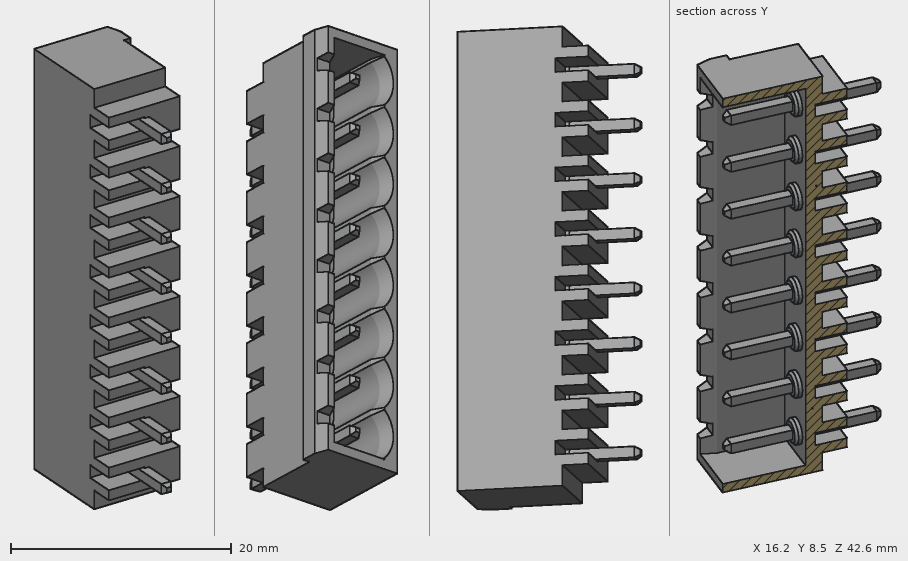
import cadquery as cq


PIN_COUNT = 8
HEIGHT = 42.65
PITCH = 5.07
PIN_Y = 3.9
PIN_HEIGHTS = [(i - (PIN_COUNT - 1) / 2) * PITCH for i in range(PIN_COUNT)]

BODY_LENGTH = 9.8
BODY_WIDTH = 7.75
RIDGE_WIDTH = 8.5
RIDGE_END = 3.05
RIDGE_RAMP = 1.4
MOUTH_WIDTH = 8.0

END_WALL = 1.0
CAVITY_HEIGHT = HEIGHT - 2 * END_WALL
CAVITY_DEPTH = 8.1
CAVITY_RIDGE_EDGE = 6.85
CAVITY_CUSP_EDGE = 1.9
SCALLOP_RADIUS = 3.0
LEAD_IN_DEPTH = 1.45
LEAD_IN_WIDTH = 0.43

NOTCH_DEPTH = 1.1
NOTCH_MOUTH_HEIGHT = 1.8
NOTCH_FLOOR_HEIGHT = 1.25

FOOT_END = 12.2
FOOT_HEIGHT = 3.33
SLOT_START = 9.12
SLOT_HEIGHT = 1.3

PIN_SIZE = 1.02
PIN_FRONT = 0.9
PIN_REAR = 16.2
PIN_TIP_LENGTH = 0.5
PIN_FRONT_TIP_SIZE = 0.43
PIN_REAR_TIP_SIZE = 0.5
TAIL_START = 9.65

COLLAR_RADIUS = 1.3
COLLAR_LENGTH = 0.65
COLLAR_CHAMFER = 0.25


def box(x_range, y_range, z_center, z_size):
    """Box between two X and two Y limits, centred on a height."""
    length = x_range[1] - x_range[0]
    width = y_range[1] - y_range[0]
    corner = (x_range[0], y_range[0], z_center - z_size / 2)
    return cq.Workplane("XY").box(length, width, z_size, centered=False).translate(corner)


def across(x, y, z):
    """Workplane facing +X, whose local axes are Y and Z."""
    return cq.Workplane("YZ", origin=(x, y, z))


def make_housing():
    """Solid block with the ramped latching ridge along its +Y edge."""
    outline = [
        (0, 0),
        (BODY_LENGTH, 0),
        (BODY_LENGTH, BODY_WIDTH),
        (RIDGE_END, BODY_WIDTH),
        (RIDGE_END, RIDGE_WIDTH),
        (RIDGE_RAMP, RIDGE_WIDTH),
        (0, MOUTH_WIDTH),
    ]
    return cq.Workplane("XY").polyline(outline).close().extrude(HEIGHT / 2, both=True)


def make_scallops():
    """One round bay per pin, widened by a conical lead-in at the mouth."""
    bays = cq.Workplane("XY")
    for z in PIN_HEIGHTS:
        straight = across(0, PIN_Y, z).circle(SCALLOP_RADIUS).extrude(CAVITY_DEPTH)
        cone = (
            across(0, PIN_Y, z)
            .circle(SCALLOP_RADIUS + LEAD_IN_WIDTH)
            .workplane(offset=LEAD_IN_DEPTH)
            .circle(SCALLOP_RADIUS)
            .loft()
        )
        bays = bays.add(straight.union(cone))
    return bays.combine()


def make_cavity():
    """Straight channel with a sloped lead-in, joined to the scallops on its -Y side."""
    main_profile = [
        (0, CAVITY_CUSP_EDGE - LEAD_IN_WIDTH),
        (0, CAVITY_RIDGE_EDGE + LEAD_IN_WIDTH),
        (LEAD_IN_DEPTH, CAVITY_RIDGE_EDGE),
        (CAVITY_DEPTH, CAVITY_RIDGE_EDGE),
        (CAVITY_DEPTH, CAVITY_CUSP_EDGE),
        (LEAD_IN_DEPTH, CAVITY_CUSP_EDGE),
    ]
    main = cq.Workplane("XY").polyline(main_profile).close().extrude(CAVITY_HEIGHT / 2, both=True)
    limits = box((0, CAVITY_DEPTH), (0, PIN_Y), 0, CAVITY_HEIGHT)
    return main.union(make_scallops().intersect(limits))


def make_notch(z):
    """Notch cutter whose upper and lower sides converge inwards from the mouth."""
    profile = [
        (0, z - NOTCH_MOUTH_HEIGHT / 2),
        (0, z + NOTCH_MOUTH_HEIGHT / 2),
        (NOTCH_DEPTH, z + NOTCH_FLOOR_HEIGHT / 2),
        (NOTCH_DEPTH, z - NOTCH_FLOOR_HEIGHT / 2),
    ]
    plane = cq.Workplane("XZ", origin=(0, RIDGE_WIDTH, 0))
    return plane.polyline(profile).close().extrude(RIDGE_WIDTH - CAVITY_RIDGE_EDGE)


def make_collar(z):
    """Chamfered ring of plastic around the pin on the cavity floor."""
    collar = across(CAVITY_DEPTH, PIN_Y, z).circle(COLLAR_RADIUS).extrude(-COLLAR_LENGTH)
    return collar.faces("<X").chamfer(COLLAR_CHAMFER)


def make_taper(x_wide, x_tip, tip_size, z):
    """Four-sided pin point narrowing from the full pin section to the tip."""
    return (
        across(x_wide, PIN_Y, z)
        .rect(PIN_SIZE, PIN_SIZE)
        .workplane(offset=x_tip - x_wide)
        .rect(tip_size, tip_size)
        .loft()
    )


def make_shaft(x_start, x_end, z):
    return across(x_start, PIN_Y, z).rect(PIN_SIZE, PIN_SIZE).extrude(x_end - x_start)


def make_front_pin(z):
    """Pointed contact standing on the cavity floor."""
    shoulder = PIN_FRONT + PIN_TIP_LENGTH
    shaft = make_shaft(shoulder, CAVITY_DEPTH, z)
    return shaft.union(make_taper(shoulder, PIN_FRONT, PIN_FRONT_TIP_SIZE, z))


def make_tail(z):
    """Pointed solder tail leaving the housing through its foot."""
    shoulder = PIN_REAR - PIN_TIP_LENGTH
    shaft = make_shaft(TAIL_START, shoulder, z)
    return shaft.union(make_taper(shoulder, PIN_REAR, PIN_REAR_TIP_SIZE, z))


result = make_housing().cut(make_cavity())
for pin_z in PIN_HEIGHTS:
    foot = box((BODY_LENGTH, FOOT_END), (0, BODY_WIDTH), pin_z, FOOT_HEIGHT)
    slot = box((SLOT_START, FOOT_END), (0, PIN_Y), pin_z, SLOT_HEIGHT)
    result = result.union(foot).cut(slot).cut(make_notch(pin_z))
    result = result.union(make_collar(pin_z))
    result = result.union(make_front_pin(pin_z)).union(make_tail(pin_z))